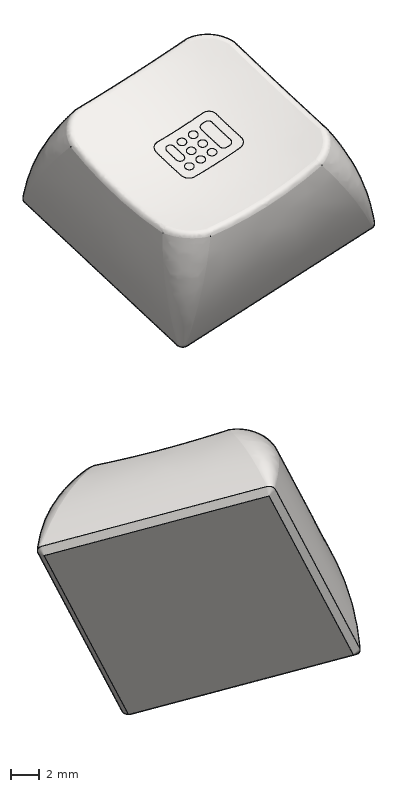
import cadquery as cq
import math

base_size = 18.0
base_corner_radius = 0.5
foot_chamfer = 0.49
skirt_top = 0.7

wall_top = 10.08
wall_inset_at_top = 2.16
wall_curve_power = 2.5
corner_setback_at_top = 2.47
corner_flattening = 0.3
wall_sections = 6

dish_radius = 31.14
dish_depth_level = 7.78
rim_fillet = 0.5

legend_width = 4.14
legend_height = 5.5
legend_corner_radius = 0.68
legend_margin = 0.68
legend_depth = 0.54
button_diameter = 0.68
button_pitch = 1.05
screen_height = 0.97
screen_corner_radius = 0.35

window_width = legend_width - 2 * legend_margin
legend_floor = dish_depth_level - legend_depth
bottom_row_y = -legend_height / 2 + legend_margin + button_diameter / 2
screen_y = legend_height / 2 - legend_margin - screen_height / 2


def wall_section(height_fraction):
    """Rounded square whose corner arcs start tangent at the skirt and flatten slightly upward."""
    half = base_size / 2 - wall_inset_at_top * height_fraction**wall_curve_power
    setback_gain = corner_setback_at_top - base_corner_radius
    setback = base_corner_radius + setback_gain * math.sin(height_fraction * math.pi / 2)
    flat = half - setback
    roundness = 1 - corner_flattening * height_fraction**2
    chord_middle = half - setback / 2
    tangent_middle = flat + setback * math.sqrt(0.5)
    middle = chord_middle + (tangent_middle - chord_middle) * roundness
    height = skirt_top + (wall_top - skirt_top) * height_fraction

    outline = cq.Workplane("XY", origin=(0, 0, height)).moveTo(-flat, -half)
    outline = outline.lineTo(flat, -half).threePointArc((middle, -middle), (half, -flat))
    outline = outline.lineTo(half, flat).threePointArc((middle, middle), (flat, half))
    outline = outline.lineTo(-flat, half).threePointArc((-middle, middle), (-half, flat))
    outline = outline.lineTo(-half, -flat).threePointArc((-middle, -middle), (-flat, -half))
    return outline.wire().val()


def make_skirt():
    skirt = cq.Workplane("XY").rect(base_size, base_size).extrude(skirt_top)
    skirt = skirt.edges("|Z").fillet(base_corner_radius)
    return skirt.faces("<Z").chamfer(foot_chamfer)


def make_walls():
    sections = [wall_section(step / (wall_sections - 1)) for step in range(wall_sections)]
    return cq.Workplane(cq.Solid.makeLoft(sections))


def make_dish_ball():
    return cq.Workplane("XY", origin=(0, 0, dish_depth_level + dish_radius)).sphere(dish_radius)


def make_legend(dish_ball):
    """Calculator plate with openings for its screen and buttons, topped by the dish surface."""
    level = cq.Workplane("XY", origin=(0, 0, legend_floor))
    tall = wall_top - legend_floor
    legend = level.rect(legend_width, legend_height).extrude(tall)
    legend = legend.edges("|Z").fillet(legend_corner_radius)

    screen = level.center(0, screen_y).rect(window_width, screen_height).extrude(tall)
    legend = legend.cut(screen.edges("|Z").fillet(screen_corner_radius))

    button_places = [(button_pitch, bottom_row_y)]
    for row in (1, 2):
        for column in (-1, 0, 1):
            button_places.append((column * button_pitch, bottom_row_y + row * button_pitch))
    buttons = level.pushPoints(button_places).circle(button_diameter / 2).extrude(tall)
    wide_place = level.center(-button_pitch / 2, bottom_row_y)
    wide_button = wide_place.slot2D(button_pitch + button_diameter, button_diameter).extrude(tall)
    return legend.cut(buttons).cut(wide_button).cut(dish_ball)


def make_cap(dish_ball, legend):
    """Keycap with a rounded rim and a pocket that the legend fills."""
    body = make_walls().cut(dish_ball)
    body = body.faces("%SPHERE").edges().fillet(rim_fillet)
    return make_skirt().union(body).cut(legend)


dish_ball = make_dish_ball()
legend = make_legend(dish_ball)
cap = make_cap(dish_ball, legend)

result = cq.Compound.makeCompound([cap.val(), legend.val()])